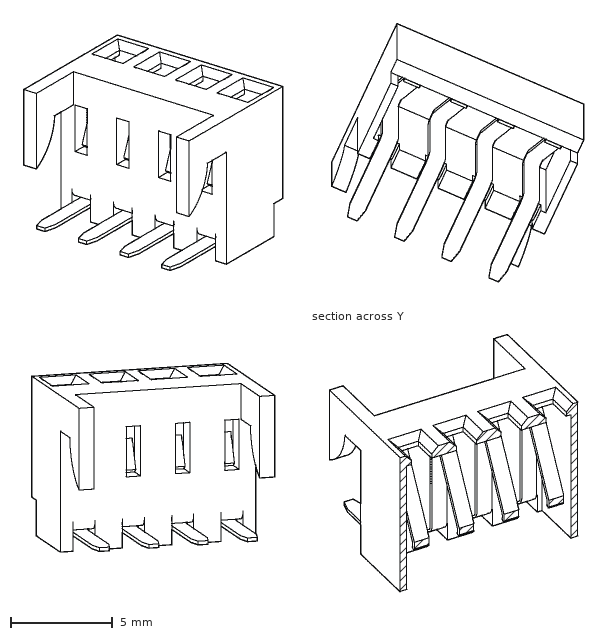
import cadquery as cq
import math

LENGTH = 10.06
DEPTH = 8.05
HEIGHT = 7.87

CONTACT_COUNT = 4
PITCH = 2.54
CONTACT_X = [(i - (CONTACT_COUNT - 1) / 2) * PITCH for i in range(CONTACT_COUNT)]

BODY_FRONT = 3.35
STEP_DEPTH = 0.73
STEP_HEIGHT = 1.79
CAVITY_FRONT = 4.38
CAVITY_BACK = DEPTH - STEP_DEPTH
SIDE_WALL = 0.39
ROOF = 0.63

ARM_WIDTH = 0.77
ARM_FRONT = 0.25
ARM_UNDERSIDE = 6.08
HOOK_BACK = 1.79
HOOK_TIP = 3.76
HOOK_RADIUS = 2.82

OPENING_WIDTH = 1.13
ENTRY_BACK = CAVITY_BACK
ENTRY_FRONT = 5.92
FUNNEL = 0.37
WINDOW_WIDTH = 0.73
WINDOW_BOTTOM = 3.56
WINDOW_TOP = 6.09
SLOT_CEILING = 0.98
SLOT_ROUND = 0.49

STRIP = 0.19
STRIP_WIDTH = 0.85
PIN_BOTTOM = 0.66
PIN_TIP_WIDTH = 0.51
PIN_TAPER = 0.65
BEND_RADIUS = 0.4
PLATE_TOP = 6.44
HAIRPIN_RADIUS = 0.3
SPRING_SLOPE = 62.0
SPRING_BACK = 7.2
CURL_RADIUS = 0.5
TANG_WIDTH = 0.51
TANG_TOP = 5.26
TANG_BOTTOM = 3.8
TANG_REACH = 0.59
TANG_EDGE = 0.15


def box(x_range, y_range, z_range):
    """Axis-aligned box between the given limits."""
    (x0, x1), (y0, y1), (z0, z1) = x_range, y_range, z_range
    return cq.Workplane("XY").box(x1 - x0, y1 - y0, z1 - z0, centered=False).translate((x0, y0, z0))


def centred(x, width):
    """X limits of a feature of the given width around x."""
    return (x - width / 2, x + width / 2)


def extrude_side(profile, x, width):
    """Extrude a closed YZ profile symmetrically about x."""
    return profile.extrude(width / 2, both=True).translate((x, 0, 0))


def make_block():
    """Stepped housing block, hollow below its roof and open underneath."""
    block = box(centred(0, LENGTH), (BODY_FRONT, DEPTH), (0, HEIGHT))
    step = box(centred(0, LENGTH), (CAVITY_BACK, DEPTH), (0, STEP_HEIGHT))
    cavity = box(centred(0, LENGTH - 2 * SIDE_WALL), (CAVITY_FRONT, CAVITY_BACK), (0, HEIGHT - ROOF))
    return block.cut(step).cut(cavity)


def make_arm(x):
    """Latch arm reaching forward from the top of the block, with a curved hook."""
    profile = (
        cq.Workplane("YZ")
        .moveTo(BODY_FRONT, HEIGHT)
        .lineTo(ARM_FRONT, HEIGHT)
        .lineTo(ARM_FRONT, HOOK_TIP)
        .radiusArc((HOOK_BACK, ARM_UNDERSIDE), -HOOK_RADIUS)
        .lineTo(BODY_FRONT, ARM_UNDERSIDE)
        .close()
    )
    return extrude_side(profile, x, ARM_WIDTH)


def make_entry(x):
    """Entry hole through the roof with a 45 degree lead-in funnel."""
    hole_depth = ENTRY_BACK - ENTRY_FRONT
    middle = (x, (ENTRY_FRONT + ENTRY_BACK) / 2)
    hole = box(centred(x, OPENING_WIDTH), (ENTRY_FRONT, ENTRY_BACK), (HEIGHT - ROOF, HEIGHT))
    funnel = (
        cq.Workplane("XY", origin=(*middle, HEIGHT - FUNNEL))
        .rect(OPENING_WIDTH, hole_depth)
        .workplane(offset=FUNNEL)
        .rect(OPENING_WIDTH + 2 * FUNNEL, hole_depth + 2 * FUNNEL)
        .loft(ruled=True)
    )
    return hole.union(funnel)


def make_window(x):
    """Window through the front wall for the locking tang."""
    return box(centred(x, WINDOW_WIDTH), (BODY_FRONT, CAVITY_FRONT), (WINDOW_BOTTOM, WINDOW_TOP))


def make_slot(x):
    """Pin slot through the front wall, its upper front edge rounded."""
    profile = (
        cq.Workplane("YZ")
        .moveTo(BODY_FRONT, 0)
        .lineTo(BODY_FRONT, SLOT_CEILING + SLOT_ROUND)
        .radiusArc((BODY_FRONT + SLOT_ROUND, SLOT_CEILING), -SLOT_ROUND)
        .lineTo(CAVITY_FRONT, SLOT_CEILING)
        .lineTo(CAVITY_FRONT, 0)
        .close()
    )
    return extrude_side(profile, x, OPENING_WIDTH)


def make_pin(x):
    """Flat pin with a tapered tip, ending where the strip bends upwards."""
    outline = [
        (x - PIN_TIP_WIDTH / 2, 0),
        (x + PIN_TIP_WIDTH / 2, 0),
        (x + STRIP_WIDTH / 2, PIN_TAPER),
        (x + STRIP_WIDTH / 2, CAVITY_FRONT - BEND_RADIUS),
        (x - STRIP_WIDTH / 2, CAVITY_FRONT - BEND_RADIUS),
        (x - STRIP_WIDTH / 2, PIN_TAPER),
    ]
    return cq.Workplane("XY", origin=(0, 0, PIN_BOTTOM)).polyline(outline).close().extrude(STRIP)


def polar(centre, radius, degrees):
    """Point on a circle in the YZ plane, measured from +Y towards +Z."""
    angle = math.radians(degrees)
    return (centre[0] + radius * math.cos(angle), centre[1] + radius * math.sin(angle))


def make_spring(x):
    """Strip bent up from the pin into a plate, then folded over into a sloping, curled spring leg."""
    half = STRIP / 2
    bend_start = CAVITY_FRONT - BEND_RADIUS
    bend_centre = (bend_start, PIN_BOTTOM + STRIP + BEND_RADIUS)
    bend_path = BEND_RADIUS + half
    hairpin_centre = (CAVITY_FRONT + half + HAIRPIN_RADIUS, PLATE_TOP)

    tilt = 90 - SPRING_SLOPE
    leg_top = polar(hairpin_centre, HAIRPIN_RADIUS, tilt)
    leg_run = SPRING_BACK - half * math.cos(math.radians(tilt)) - leg_top[0]
    leg_bottom = (leg_top[0] + leg_run, leg_top[1] - leg_run * math.tan(math.radians(SPRING_SLOPE)))
    curl_centre = polar(leg_bottom, -CURL_RADIUS, tilt)

    path = (
        cq.Workplane("YZ")
        .moveTo(*polar(bend_centre, bend_path, -90))
        .threePointArc(polar(bend_centre, bend_path, -45), polar(bend_centre, bend_path, 0))
        .lineTo(CAVITY_FRONT + half, PLATE_TOP)
        .threePointArc(polar(hairpin_centre, HAIRPIN_RADIUS, 90), leg_top)
        .lineTo(*leg_bottom)
        .threePointArc(polar(curl_centre, CURL_RADIUS, 0), polar(curl_centre, CURL_RADIUS, -tilt))
    )
    section = cq.Workplane("XZ", origin=(0, bend_start, PIN_BOTTOM + half)).rect(STRIP_WIDTH, STRIP)
    return section.sweep(path).translate((x, 0, 0))


def make_tang(x):
    """Locking tang leaning forward out of the plate into the window."""
    tip = CAVITY_FRONT - TANG_REACH
    profile = (
        cq.Workplane("YZ")
        .moveTo(CAVITY_FRONT, TANG_TOP)
        .lineTo(tip, TANG_BOTTOM)
        .lineTo(tip + TANG_EDGE, TANG_BOTTOM - TANG_EDGE)
        .lineTo(CAVITY_FRONT + STRIP / 2, TANG_TOP - TANG_EDGE)
        .lineTo(CAVITY_FRONT + STRIP / 2, TANG_TOP)
        .close()
    )
    return extrude_side(profile, x, TANG_WIDTH)


result = make_block()
for side in (-1, 1):
    result = result.union(make_arm(side * (LENGTH - ARM_WIDTH) / 2))

for x in CONTACT_X:
    result = result.cut(make_entry(x)).cut(make_window(x)).cut(make_slot(x))

for x in CONTACT_X:
    contact = make_pin(x).union(make_spring(x)).union(make_tang(x))
    result = result.union(contact)